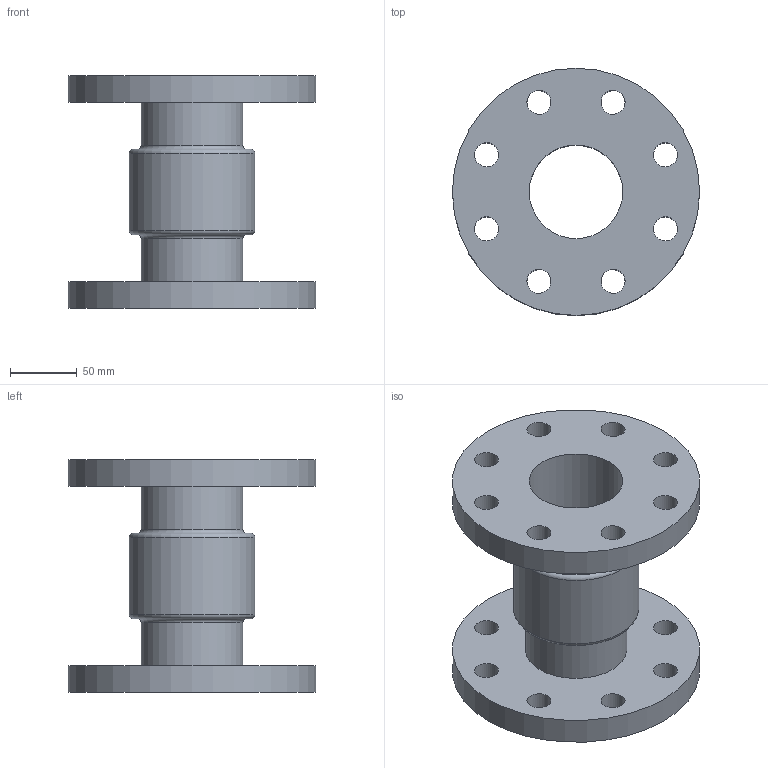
import cadquery as cq

length = 174.0

flange_diameter = 185.0
flange_thickness = 20.0
bolt_circle_diameter = 145.0
bolt_hole_diameter = 18.0
bolt_hole_count = 8

bore_diameter = 70.0
pipe_diameter = 76.0
body_diameter = 94.0
body_length = 64.0
corner_radius = 3.0


def make_turned_body():
    """Revolve the flanges, pipe and body about Z, centred on the origin."""
    bore_radius = bore_diameter / 2
    pipe_radius = pipe_diameter / 2
    body_radius = body_diameter / 2
    flange_radius = flange_diameter / 2
    end_z = length / 2
    flange_inner_z = end_z - flange_thickness
    body_end_z = body_length / 2

    upper_points = [
        (bore_radius, end_z),
        (flange_radius, end_z),
        (flange_radius, flange_inner_z),
        (pipe_radius, flange_inner_z),
        (pipe_radius, body_end_z),
        (body_radius, body_end_z),
    ]
    lower_points = [(radius, -z) for radius, z in reversed(upper_points)]
    section = cq.Workplane("XZ").polyline(upper_points + lower_points).close()
    return section.revolve(360, (0, 0, 0), (0, 1, 0))


def round_body_corners(part):
    """Fillet the outer edges and the pipe junctions at both ends of the body."""
    reach = flange_diameter / 2
    body_zone = cq.selectors.BoxSelector(
        (-reach, -reach, -body_length / 2 - corner_radius),
        (reach, reach, body_length / 2 + corner_radius),
        boundingbox=True,
    )
    return part.edges(body_zone).edges("%CIRCLE").fillet(corner_radius)


def make_bolt_holes():
    """Full-length drills through both flanges, straddling the X and Y axes."""
    half_pitch_angle = 180.0 / bolt_hole_count
    return (
        cq.Workplane("XY")
        .polarArray(bolt_circle_diameter / 2, half_pitch_angle, 360, bolt_hole_count)
        .circle(bolt_hole_diameter / 2)
        .extrude(length / 2, both=True)
    )


result = round_body_corners(make_turned_body()).cut(make_bolt_holes())